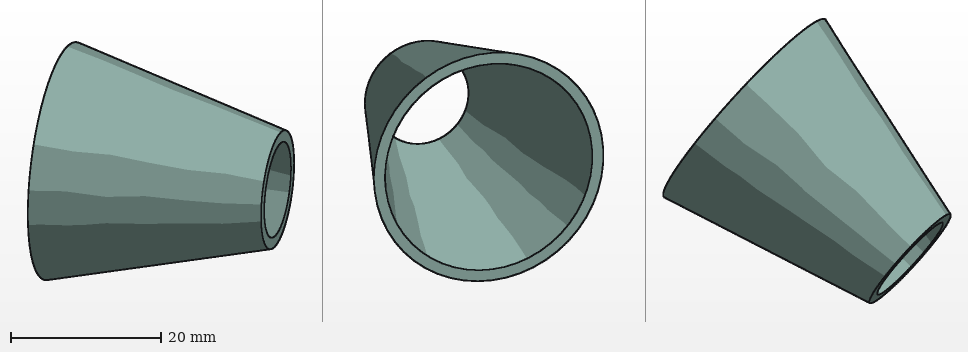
import cadquery as cq
import math

length = 30.0
large_diameter = 32.0
small_diameter = 16.0
wall_thickness = 1.5

large_radius = large_diameter / 2
small_radius = small_diameter / 2
half_angle = math.atan2(large_radius - small_radius, length)
radial_wall = wall_thickness / math.cos(half_angle)

wall_section = (
    cq.Workplane("XY")
    .moveTo(0, large_radius)
    .lineTo(length, small_radius)
    .lineTo(length, small_radius - radial_wall)
    .lineTo(0, large_radius - radial_wall)
    .close()
)

result = wall_section.revolve(360, (0, 0, 0), (1, 0, 0))